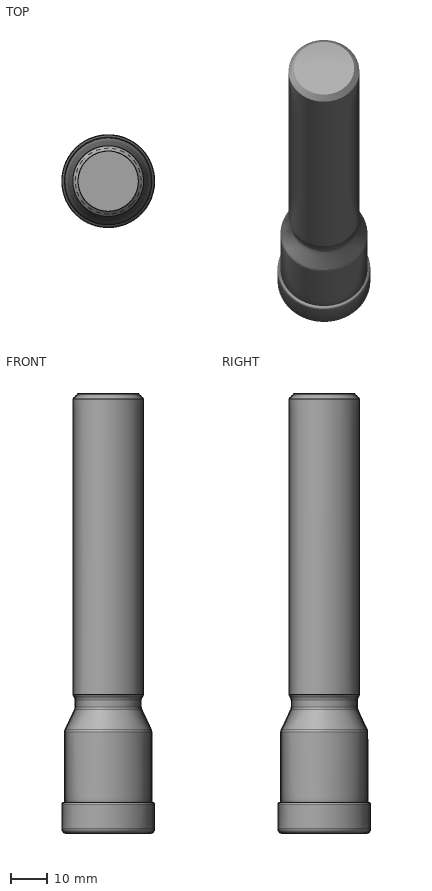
import cadquery as cq

total_length = 120.6
blend_radius = 1.6

collar_diameter = 25.5
collar_radius = collar_diameter / 2
collar_height = 8.6
collar_top_round = 0.6
collar_foot_round = 1.5

body_radius = 12.0
shank_diameter = 19.4
shank_radius = shank_diameter / 2
neck_radius = 9.0
shoulder_bottom = 28.2
neck_bottom = 34.4
neck_top = 37.0
shank_bottom = 38.1
tip_chamfer = 1.5


def make_collar():
    """Plain disc under the pin, rounded on both rims."""
    collar = cq.Workplane("XY").circle(collar_radius).extrude(collar_height)
    return collar.faces("<Z").edges().fillet(collar_foot_round).faces(">Z").edges().fillet(collar_top_round)


def ring_edge(radius, height):
    """Selector for the circular edge of given radius at given height."""
    margin = 0.06
    reach = radius + margin
    return cq.selectors.BoxSelector(
        (-reach, -reach, height - margin), (reach, reach, height + margin), boundingbox=True
    )


def make_pin():
    """Turned pin: wide body, tapered shoulder, relief neck and long shank."""
    profile = [
        (0, collar_height),
        (body_radius, collar_height),
        (body_radius, shoulder_bottom),
        (neck_radius, neck_bottom),
        (neck_radius, neck_top),
        (shank_radius, shank_bottom),
        (shank_radius, total_length),
        (0, total_length),
    ]
    pin = cq.Workplane("XZ").polyline(profile).close().revolve(360, (0, 0, 0), (0, 1, 0))
    for radius, height in (
        (body_radius, shoulder_bottom),
        (neck_radius, neck_bottom),
        (neck_radius, neck_top),
    ):
        pin = pin.edges(ring_edge(radius, height)).fillet(blend_radius)
    return pin.faces(">Z").edges().chamfer(tip_chamfer)


collar = make_collar()
pin = make_pin()

result = cq.Compound.makeCompound([collar.val(), pin.val()])